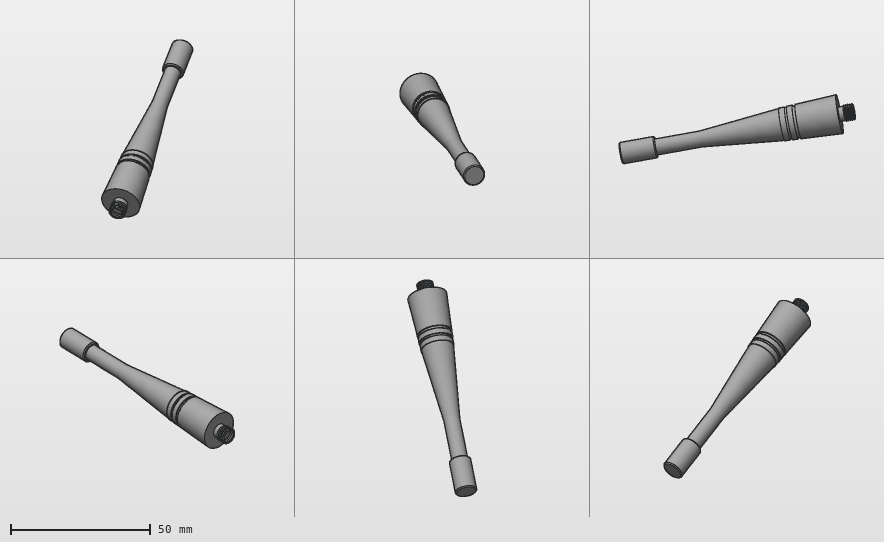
import cadquery as cq

TOTAL_LENGTH = 85.2

CONTACT_RADIUS = 0.4
CONTACT_DEPTH = 0.85
SOCKET_RADIUS = 2.4
SOCKET_DEPTH = 2.2
THREAD_ROOT_RADIUS = 2.6
THREAD_CREST_RADIUS = 3.0
THREAD_PITCH = 0.72
THREAD_TURNS = 5

BASE_START = 5.4
BASE_RADIUS = 14.2 / 2
BASE_END = 20.45
BASE_END_RADIUS = 6.3

GROOVE_RADIUS = 5.8
LOWER_BAND_START = 21.5
LOWER_BAND_END = 23.5
LOWER_BAND_RADIUS = 6.2
UPPER_BAND_START = 24.3
UPPER_BAND_END = 26.4
UPPER_BAND_RADIUS = 6.05

NECK_START = 27.4
NECK_RADIUS = 5.8
NECK_END = 55.9
ROD_RADIUS = 5.9 / 2

CAP_START = 72.2
CAP_RADIUS = 3.9
CAP_CHAMFER = 0.4


def cylinder(radius, start, end):
    """Solid cylinder on the Y axis between two Y positions."""
    return cq.Workplane("XZ", origin=(0, end, 0)).circle(radius).extrude(end - start)


def revolve_outline(points):
    """Turn an outline of (radius, y) points about the Y axis."""
    return cq.Workplane("XY").polyline(points).close().revolve(360, (0, 0, 0), (0, 1, 0))


def make_body():
    """Base, bands, neck and rod as one turned body."""
    return revolve_outline([
        (0, BASE_START),
        (BASE_RADIUS, BASE_START),
        (BASE_END_RADIUS, BASE_END),
        (GROOVE_RADIUS, BASE_END),
        (GROOVE_RADIUS, LOWER_BAND_START),
        (LOWER_BAND_RADIUS, LOWER_BAND_START),
        (LOWER_BAND_RADIUS, LOWER_BAND_END),
        (GROOVE_RADIUS, LOWER_BAND_END),
        (GROOVE_RADIUS, UPPER_BAND_START),
        (UPPER_BAND_RADIUS, UPPER_BAND_START),
        (UPPER_BAND_RADIUS, UPPER_BAND_END),
        (NECK_RADIUS, UPPER_BAND_END),
        (NECK_RADIUS, NECK_START),
        (ROD_RADIUS, NECK_END),
        (ROD_RADIUS, CAP_START),
        (0, CAP_START),
    ])


def make_cap():
    """Cap with both rims chamfered."""
    return cylinder(CAP_RADIUS, CAP_START, TOTAL_LENGTH).edges("<Y or >Y").chamfer(CAP_CHAMFER)


def make_connector():
    """Connector sleeve with ring-shaped thread teeth."""
    points = [(0, 0), (THREAD_ROOT_RADIUS, 0)]
    for turn in range(THREAD_TURNS):
        root = turn * THREAD_PITCH
        points.append((THREAD_CREST_RADIUS, root + THREAD_PITCH / 2))
        points.append((THREAD_ROOT_RADIUS, root + THREAD_PITCH))
    points += [(THREAD_ROOT_RADIUS, BASE_START), (0, BASE_START)]
    return revolve_outline(points)


socket = cylinder(SOCKET_RADIUS, 0, SOCKET_DEPTH)
contact_hole = cylinder(CONTACT_RADIUS, SOCKET_DEPTH, SOCKET_DEPTH + CONTACT_DEPTH)

result = make_body().union(make_cap()).union(make_connector()).cut(socket).cut(contact_hole)